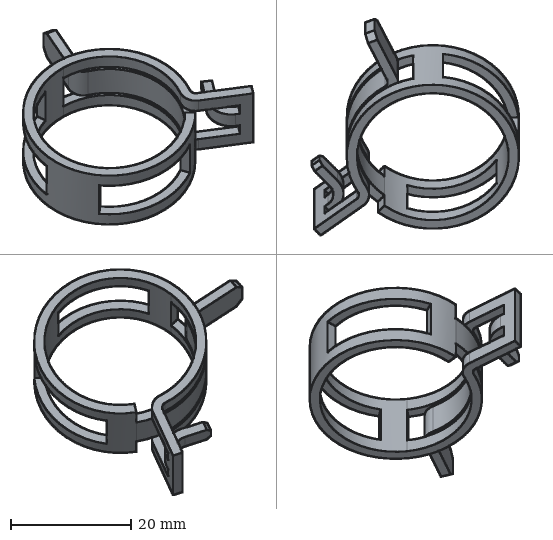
import cadquery as cq
import math


overall_width = 39.0
band_height = 12.0
outer_radius = 14.3
thickness = 1.7
inner_radius = outer_radius - thickness

window_height = 6.95
side_bridge_start = 6.4
side_bridge_end = 26.4
front_bridge_half_angle = 19.9

tab_angle = 36.7
bend_radius = 1.0
tab_reach = overall_width / 2 / math.cos(math.radians(tab_angle))
end_bar_width = 2.25

strip_height = 5.8
strip_corner = 1.2

tongue_height = 2.92
tongue_bend_radius = 2.55
tongue_back = 18.8
tongue_top = 8.95
tongue_corner = 0.78


def polar(radius, angle, center=(0, 0)):
    """Point at the given radius and angle (degrees) about a center."""
    a = math.radians(angle)
    return (center[0] + radius * math.cos(a), center[1] + radius * math.sin(a))


def extrude_centered(outline, height):
    return outline.close().extrude(height / 2, both=True)


def ring_sector(start, end, height):
    """Piece of the rolled band between two angles."""
    middle = (start + end) / 2
    outline = (
        cq.Workplane("XY")
        .moveTo(*polar(outer_radius, start))
        .threePointArc(polar(outer_radius, middle), polar(outer_radius, end))
        .lineTo(*polar(inner_radius, end))
        .threePointArc(polar(inner_radius, middle), polar(inner_radius, start))
    )
    return extrude_centered(outline, height)


def flared_arm(height, reach):
    """Band from a side bridge over the top of the ring, bent out into a straight tab.

    Built with the tab lying along +X and its lower face on the XZ plane.
    """
    bend_y = thickness + bend_radius
    bend_distance = outer_radius + bend_radius
    bend_angle = math.degrees(math.asin(bend_y / bend_distance))
    bend_center = polar(bend_distance, bend_angle)
    bend_x = bend_center[0]
    bend_outer = bend_radius + thickness

    arm_end = 180 - side_bridge_end - tab_angle
    arm_middle = (bend_angle + arm_end) / 2
    bend_middle = (180 + bend_angle + 270) / 2

    outline = (
        cq.Workplane("XY")
        .moveTo(*polar(inner_radius, arm_end))
        .threePointArc(polar(inner_radius, arm_middle), polar(inner_radius, bend_angle))
        .threePointArc(polar(bend_outer, bend_middle, bend_center), (bend_x, 0))
        .lineTo(reach, 0)
        .lineTo(reach, thickness)
        .lineTo(bend_x, thickness)
        .threePointArc(
            polar(bend_radius, bend_middle, bend_center), polar(outer_radius, bend_angle)
        )
        .threePointArc(polar(outer_radius, arm_middle), polar(outer_radius, arm_end))
    )
    return extrude_centered(outline, height)


def bent_tongue():
    """Tongue from the end bar of the wide tab, in the same position as flared_arm."""
    root = tab_reach - end_bar_width
    center = (tongue_back + tongue_bend_radius, thickness + tongue_bend_radius)
    bend_outer = tongue_bend_radius + thickness
    tongue_front = tongue_back - thickness

    outline = (
        cq.Workplane("XY")
        .moveTo(root, 0)
        .lineTo(center[0], 0)
        .threePointArc(polar(bend_outer, 225, center), (tongue_front, center[1]))
        .lineTo(tongue_front, tongue_top)
        .lineTo(tongue_back, tongue_top)
        .lineTo(tongue_back, center[1])
        .threePointArc(polar(tongue_bend_radius, 225, center), (center[0], thickness))
        .lineTo(root, thickness)
    )
    tongue = extrude_centered(outline, tongue_height)
    return tongue.faces(">Y").edges("|X").chamfer(tongue_corner)


def turn_to_tab_angle(body):
    return body.rotate((0, 0, 0), (0, 0, 1), tab_angle)


ring = ring_sector(180 - side_bridge_end, 360 + side_bridge_end, band_height)
left_window = ring_sector(180 - side_bridge_start, 270 - front_bridge_half_angle, window_height)
ring = ring.cut(left_window).cut(left_window.mirror("YZ"))

wide_arm = flared_arm(band_height, tab_reach)
wide_arm = wide_arm.cut(flared_arm(window_height, tab_reach - end_bar_width))
wide_arm = turn_to_tab_angle(wide_arm.union(bent_tongue()))

narrow_arm = flared_arm(strip_height, tab_reach)
narrow_arm = narrow_arm.faces(">X").edges("|Y").chamfer(strip_corner)
narrow_arm = turn_to_tab_angle(narrow_arm).mirror("YZ")

result = ring.union(wide_arm).union(narrow_arm, clean=False)